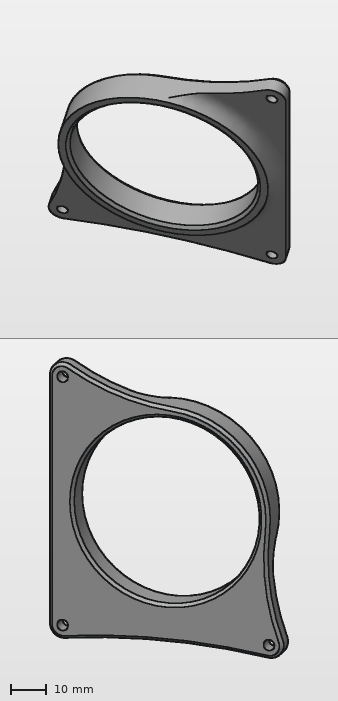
import cadquery as cq
import math

width = 69.25
height = 81.5
depth = 9.4
corner_radius = 4.1
plate_thickness = 5.0
ring_radius = 30.6
bore_diameter = 54.8
bore_chamfer = 1.0
screw_hole_diameter = 3.2
rear_chamfer = 1.0
side_blend_radius = 67.6
bottom_waist = 2.1

hole_x = width / 2 - corner_radius
hole_z = height / 2 - corner_radius
rear_y = depth / 2
front_y = -depth / 2
plate_front_y = rear_y - plate_thickness
ring_height = depth - plate_thickness
top_ear = (hole_x, hole_z)
left_ear = (-hole_x, -hole_z)
right_ear = (hole_x, -hole_z)
ring_center = (0.0, 0.0)


def toward(start, target, distance):
    """Point at a distance from start along the direction to target."""
    length = math.dist(start, target)
    return tuple(s + (t - s) * distance / length for s, t in zip(start, target))


def blend_center(ear, side):
    """Centre of the arc tangent to the ring and an ear, left (+1) or right (-1) of the line to the ear."""
    from_ring = ring_radius + side_blend_radius
    from_ear = corner_radius + side_blend_radius
    spacing = math.hypot(*ear)
    cosine = (from_ring**2 + spacing**2 - from_ear**2) / (2 * from_ring * spacing)
    angle = math.atan2(ear[1], ear[0]) + side * math.acos(cosine)
    return (from_ring * math.cos(angle), from_ring * math.sin(angle))


def mid_arc(center, first, last, radius):
    """Middle point of the shorter arc between two points."""
    chord_middle = ((first[0] + last[0]) / 2, (first[1] + last[1]) / 2)
    return toward(center, chord_middle, radius)


def outline(workplane):
    """Closed outer contour: three round ears, the ring arc and the concave edges."""
    top_blend = blend_center(top_ear, 1)
    left_blend = blend_center(left_ear, -1)
    waist_offset = corner_radius - bottom_waist
    bottom_radius = (hole_x**2 + waist_offset**2 - corner_radius**2) / (2 * bottom_waist)
    bottom_blend = (0.0, -hole_z - waist_offset - bottom_radius)

    right_top = (width / 2, hole_z)
    right_bottom = (width / 2, -hole_z)
    top_ear_end = toward(top_ear, top_blend, corner_radius)
    ring_top = toward(ring_center, top_blend, ring_radius)
    ring_left = toward(ring_center, left_blend, ring_radius)
    left_ear_start = toward(left_ear, left_blend, corner_radius)
    left_ear_end = toward(left_ear, bottom_blend, corner_radius)
    right_ear_start = toward(right_ear, bottom_blend, corner_radius)

    arcs = [
        (top_ear, right_top, top_ear_end, corner_radius),
        (top_blend, top_ear_end, ring_top, side_blend_radius),
        (ring_center, ring_top, ring_left, ring_radius),
        (left_blend, ring_left, left_ear_start, side_blend_radius),
        (left_ear, left_ear_start, left_ear_end, corner_radius),
        (bottom_blend, left_ear_end, right_ear_start, bottom_radius),
        (right_ear, right_ear_start, right_bottom, corner_radius),
    ]
    sketch = workplane.moveTo(*right_top)
    for center, first, last, radius in arcs:
        sketch = sketch.threePointArc(mid_arc(center, first, last, radius), last)
    return sketch.close()


def coved_ring():
    """Solid of revolution standing on the plate, flaring into it through a concave cove."""
    cove_edge = ring_radius + ring_height
    cove_middle = (
        cove_edge - ring_height * math.cos(math.pi / 4),
        plate_front_y - ring_height * (1 - math.sin(math.pi / 4)),
    )
    return (
        cq.Workplane("XY")
        .moveTo(0, rear_y)
        .lineTo(0, front_y)
        .lineTo(ring_radius, front_y)
        .threePointArc(cove_middle, (cove_edge, plate_front_y))
        .lineTo(cove_edge, rear_y)
        .close()
        .revolve(360, (0, 0, 0), (0, 1, 0))
    )


def rear_plane():
    """XZ plane on the rear face; extrusions run toward the front."""
    return cq.Workplane("XZ", origin=(0, rear_y, 0))


plate = outline(rear_plane()).extrude(plate_thickness)
full_depth_outline = outline(rear_plane()).extrude(depth)
body = plate.union(coved_ring().intersect(full_depth_outline))

body = body.cut(rear_plane().circle(bore_diameter / 2).extrude(depth))
body = body.faces(">Y").edges().chamfer(rear_chamfer)
body = body.faces("<Y").edges(cq.selectors.RadiusNthSelector(0)).chamfer(bore_chamfer)

screw_holes = (
    rear_plane()
    .pushPoints([top_ear, left_ear, right_ear])
    .circle(screw_hole_diameter / 2)
    .extrude(plate_thickness)
)
result = body.cut(screw_holes)